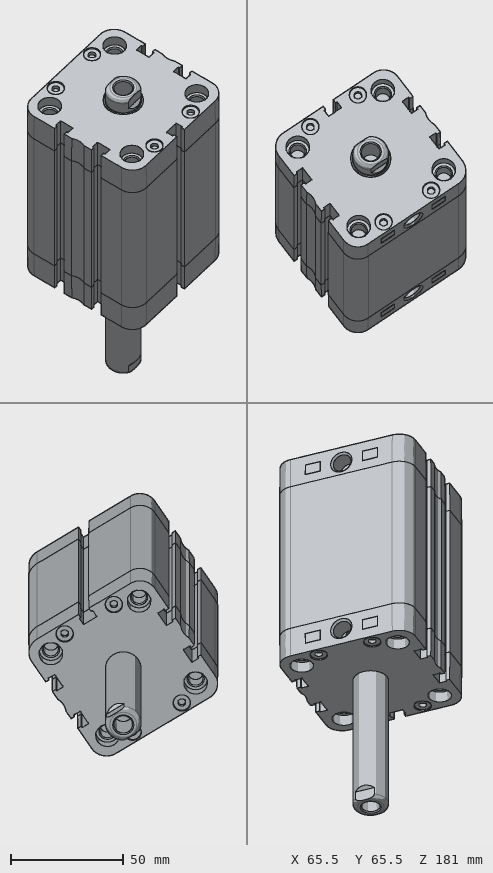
import cadquery as cq
import math

ROD_LENGTH = 181.0
ROD_TOP_STICKOUT = 8.0
BODY_LENGTH = 105.2
CAP_HEIGHT = 14.7
BODY_TOP = ROD_LENGTH - ROD_TOP_STICKOUT
BODY_BOTTOM = BODY_TOP - BODY_LENGTH
TUBE_LENGTH = BODY_LENGTH - 2 * CAP_HEIGHT

BODY_WIDTH = 65.5
HALF_WIDTH = BODY_WIDTH / 2
CORNER_RADIUS = 8.0
CAP_DRAFT_ANGLE = 0.55

SLOT_OFFSET = 10.5
SLOT_MOUTH_WIDTH = 5.5
SLOT_CHAMBER_WIDTH = 7.0
SLOT_DEPTH = 5.5
SLOT_LIP = 2.0

GROOVE_WIDTH = 7.2
GROOVE_DEPTH = 0.9

MOUNT_OFFSET = 23.3
MOUNT_COUNTERBORE_DIAMETER = 10.5
MOUNT_COUNTERBORE_DEPTH = 5.2
MOUNT_CHAMFER_DIAMETER = 7.8
MOUNT_HOLE_DIAMETER = 6.7
MOUNT_HOLE_DEPTH = 12.7

SCREW_X = 28.0
SCREW_Y = 13.0
SCREW_RECESS_DIAMETER = 7.8
SCREW_FLOOR_DIAMETER = 7.5
SCREW_RECESS_DEPTH = 0.5
SCREW_SOCKET_DIAMETER = 3.5
SCREW_SOCKET_DEPTH = 1.8

PORT_FROM_END = 8.0
PORT_MOUTH_DIAMETER = 10.5
PORT_DIAMETER = 8.5
PORT_DEPTH = 9.0
PASSAGE_DIAMETER = 3.5
PASSAGE_OFFSET = 2.2
PASSAGE_DEPTH = 3.6

LABEL_OFFSET = 14.0
LABEL_FROM_END = 7.5
LABEL_WIDTH = 7.2
LABEL_HEIGHT = 5.0
LABEL_DEPTH = 0.2

ROD_DIAMETER = 16.0
ROD_END_FILLET = 2.0
ROD_FLAT_WIDTH = 13.0
ROD_FLAT_LENGTH = 5.5
ROD_HOLE_DIAMETER = 8.3
ROD_HOLE_MOUTH_DIAMETER = 9.5
ROD_HOLE_DEPTH = 14.5

WIPER_DIAMETER = 18.0
WIPER_HEIGHT = 3.6
WIPER_LIP_BASE_DIAMETER = 17.7
WIPER_LIP_TOP_DIAMETER = 16.5
WIPER_LIP_HEIGHT = 0.7



def cylinder(diameter, length, center=(0, 0, 0), direction=(0, 0, 1)):
    return cq.Workplane(cq.Solid.makeCylinder(diameter / 2, length, cq.Vector(center), cq.Vector(direction)))


def cone(start_diameter, end_diameter, length, center=(0, 0, 0), direction=(0, 0, 1)):
    return cq.Workplane(
        cq.Solid.makeCone(start_diameter / 2, end_diameter / 2, length, cq.Vector(center), cq.Vector(direction))
    )


def mirrored_pairs(x, y):
    return [(-x, -y), (-x, y), (x, -y), (x, y)]


def draw_slot(outline, side, center):
    """Continue an outline counterclockwise around one slot; `side` maps (along, depth) to a point."""
    mouth = SLOT_MOUTH_WIDTH / 2
    chamber = SLOT_CHAMBER_WIDTH / 2
    corners = [
        (-mouth, 0),
        (-mouth, SLOT_LIP),
        (-chamber, SLOT_LIP),
        (-chamber, SLOT_DEPTH),
        (chamber, SLOT_DEPTH),
        (chamber, SLOT_LIP),
        (mouth, SLOT_LIP),
        (mouth, 0),
    ]
    for along, depth in corners:
        outline = outline.lineTo(*side(center + along, depth))
    return outline


def draw_groove(outline, side):
    outline = outline.lineTo(*side(-GROOVE_WIDTH / 2, 0))
    return outline.threePointArc(side(0, GROOVE_DEPTH), side(GROOVE_WIDTH / 2, 0))


def draw_corner(outline, side):
    """Run along a side to its end and round the corner onto the next side."""
    straight_end = HALF_WIDTH - CORNER_RADIUS
    inset = CORNER_RADIUS * (1 - math.sqrt(0.5))
    outline = outline.lineTo(*side(straight_end, 0))
    return outline.threePointArc(side(HALF_WIDTH - inset, inset), side(HALF_WIDTH, CORNER_RADIUS))


def front_side(along, depth):
    return (along, depth - HALF_WIDTH)


def right_side(along, depth):
    return (HALF_WIDTH - depth, along)


def back_side(along, depth):
    return (-along, HALF_WIDTH - depth)


def left_side(along, depth):
    return (depth - HALF_WIDTH, -along)


def body_profile():
    """Closed outline: rounded square with slots on three sides and two grooves."""
    outline = cq.Workplane("XY").moveTo(*front_side(CORNER_RADIUS - HALF_WIDTH, 0))
    for side in (front_side, right_side, back_side, left_side):
        if side in (front_side, back_side):
            outline = draw_slot(outline, side, -SLOT_OFFSET)
            outline = draw_groove(outline, side)
            outline = draw_slot(outline, side, SLOT_OFFSET)
        elif side is right_side:
            outline = draw_slot(outline, side, 0)
        outline = draw_corner(outline, side)
    return outline.close()


def make_tube():
    tube = body_profile().extrude(TUBE_LENGTH)
    return tube.cut(cylinder(ROD_DIAMETER, TUBE_LENGTH))


def cut_mount_holes(cap):
    down = (0, 0, -1)
    floor_z = CAP_HEIGHT - MOUNT_COUNTERBORE_DEPTH
    chamfer = (MOUNT_CHAMFER_DIAMETER - MOUNT_HOLE_DIAMETER) / 2
    for x, y in mirrored_pairs(MOUNT_OFFSET, MOUNT_OFFSET):
        cap = cap.cut(cylinder(MOUNT_COUNTERBORE_DIAMETER, MOUNT_COUNTERBORE_DEPTH, (x, y, CAP_HEIGHT), down))
        cap = cap.cut(cone(MOUNT_CHAMFER_DIAMETER, MOUNT_HOLE_DIAMETER, chamfer, (x, y, floor_z), down))
        cap = cap.cut(cylinder(MOUNT_HOLE_DIAMETER, MOUNT_HOLE_DEPTH, (x, y, CAP_HEIGHT), down))
    return cap


def cut_screw_recesses(cap):
    down = (0, 0, -1)
    floor_z = CAP_HEIGHT - SCREW_RECESS_DEPTH
    for x, y in mirrored_pairs(SCREW_X, SCREW_Y):
        top = (x, y, CAP_HEIGHT)
        cap = cap.cut(cone(SCREW_RECESS_DIAMETER, SCREW_FLOOR_DIAMETER, SCREW_RECESS_DEPTH, top, down))
        cap = cap.cut(cylinder(SCREW_SOCKET_DIAMETER, SCREW_SOCKET_DEPTH, (x, y, floor_z), down))
    return cap


def cut_port(cap):
    inward = (1, 0, 0)
    port_z = CAP_HEIGHT - PORT_FROM_END
    mouth = (-HALF_WIDTH, 0, port_z)
    chamfer = (PORT_MOUTH_DIAMETER - PORT_DIAMETER) / 2
    cap = cap.cut(cone(PORT_MOUTH_DIAMETER, PORT_DIAMETER, chamfer, mouth, inward))
    cap = cap.cut(cylinder(PORT_DIAMETER, PORT_DEPTH, mouth, inward))
    floor = (PORT_DEPTH - HALF_WIDTH, 0, port_z - PASSAGE_OFFSET)
    return cap.cut(cylinder(PASSAGE_DIAMETER, PASSAGE_DEPTH, floor, inward))


def cut_labels(cap):
    panel_z = CAP_HEIGHT - LABEL_FROM_END
    surface_x = panel_z * math.tan(math.radians(CAP_DRAFT_ANGLE)) - HALF_WIDTH
    for y in (-LABEL_OFFSET, LABEL_OFFSET):
        panel = cq.Workplane("XY").box(2 * LABEL_DEPTH, LABEL_WIDTH, LABEL_HEIGHT)
        cap = cap.cut(panel.translate((surface_x, y, panel_z)))
    return cap


def drafted_block():
    """Rounded square block that gives the cap its tapered sides."""
    square = cq.Sketch().rect(BODY_WIDTH, BODY_WIDTH).vertices().fillet(CORNER_RADIUS)
    return cq.Workplane("XY").placeSketch(square).extrude(CAP_HEIGHT, taper=CAP_DRAFT_ANGLE)


def make_cap():
    """Cap standing on its tube face at Z = 0, outer face up."""
    cap = body_profile().extrude(CAP_HEIGHT).intersect(drafted_block())
    cap = cap.cut(cylinder(ROD_DIAMETER, CAP_HEIGHT))
    cap = cut_mount_holes(cap)
    cap = cut_screw_recesses(cap)
    cap = cut_port(cap)
    return cut_labels(cap)


def cut_wiper_seat(cap):
    return cap.cut(cylinder(WIPER_DIAMETER, WIPER_HEIGHT, (0, 0, CAP_HEIGHT - WIPER_HEIGHT)))


def make_wiper():
    """Wiper ring standing at Z = 0, lip up."""
    base_height = WIPER_HEIGHT - WIPER_LIP_HEIGHT
    ring = cylinder(WIPER_DIAMETER, base_height)
    lip = cone(WIPER_LIP_BASE_DIAMETER, WIPER_LIP_TOP_DIAMETER, WIPER_LIP_HEIGHT, (0, 0, base_height))
    return ring.union(lip).cut(cylinder(ROD_DIAMETER, WIPER_HEIGHT))


def rod_flat_cutter():
    """Cuts one wrench flat at the lower rod end, closed by a 45 degree run-out."""
    flat = ROD_FLAT_WIDTH / 2
    outside = ROD_DIAMETER
    run_out_z = ROD_FLAT_LENGTH + outside - flat
    outline = [(flat, 0), (outside, 0), (outside, run_out_z), (flat, ROD_FLAT_LENGTH)]
    return cq.Workplane("XZ").polyline(outline).close().extrude(ROD_DIAMETER, both=True)


def rod_end_cutter():
    """Everything removed at the lower rod end: two flats and the chamfered end hole."""
    chamfer = (ROD_HOLE_MOUTH_DIAMETER - ROD_HOLE_DIAMETER) / 2
    hole = cylinder(ROD_HOLE_DIAMETER, ROD_HOLE_DEPTH)
    hole = hole.union(cone(ROD_HOLE_MOUTH_DIAMETER, ROD_HOLE_DIAMETER, chamfer))
    flat = rod_flat_cutter()
    return hole.union(flat).union(flat.mirror("YZ"))


def make_rod():
    rod = cylinder(ROD_DIAMETER, ROD_LENGTH).edges("%CIRCLE").fillet(ROD_END_FILLET)
    end = rod_end_cutter()
    return rod.cut(end).cut(end.mirror("XY").translate((0, 0, ROD_LENGTH)))


tube = make_tube().translate((0, 0, BODY_BOTTOM + CAP_HEIGHT))
cap = make_cap()
upper_cap = cut_wiper_seat(cap).translate((0, 0, BODY_TOP - CAP_HEIGHT))
lower_cap = cap.rotate((0, 0, 0), (1, 0, 0), 180).translate((0, 0, BODY_BOTTOM + CAP_HEIGHT))
wiper = make_wiper().translate((0, 0, BODY_TOP - WIPER_HEIGHT))
rod = make_rod()

bodies = (tube, upper_cap, lower_cap, wiper, rod)
result = cq.Compound.makeCompound([body.solids().val() for body in bodies])